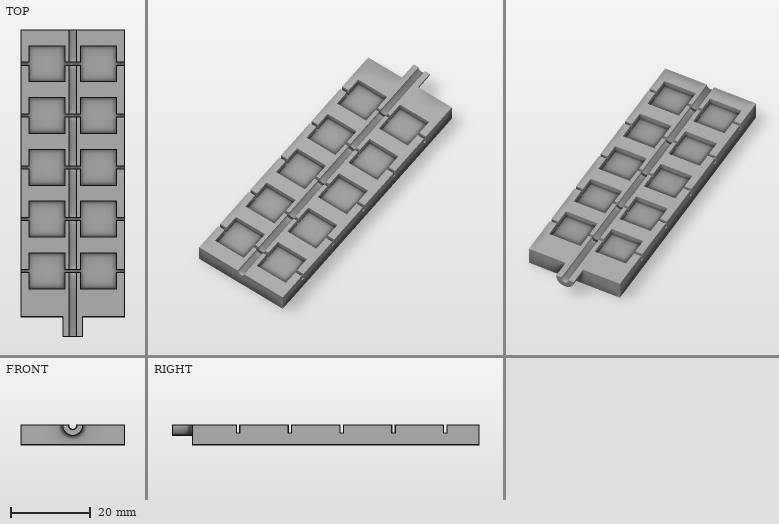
import cadquery as cq
import math

rows = 5
columns = 2
row_pitch = 13.0
column_pitch = 12.99
pocket_size = 9.0
pocket_depth = 2.0
slot_width = 0.8
plate_length = 72.0
plate_thickness = 5.0
spout_length = 5.0
spout_radius = 2.5
groove_radius = 1.0
axis_depth = 0.17

plate_width = columns * column_pitch
spout_tip_y = -spout_length
wall = row_pitch - pocket_size
first_row_y = plate_length - wall - pocket_size / 2

row_centers = [first_row_y - row * row_pitch for row in range(rows)]
column_centers = [(column - (columns - 1) / 2) * column_pitch for column in range(columns)]


def top_block(width, length, x, y):
    """Rectangular block reaching pocket_depth below the top face, centred on x, y."""
    return (
        cq.Workplane("XY", origin=(x, y, plate_thickness))
        .rect(width, length)
        .extrude(-pocket_depth)
    )


def trimmed_cylinder(radius, start_y, end_y):
    """Cylinder along Y on the spout axis, trimmed flat at the top face."""
    top_half_width = math.sqrt(radius**2 - axis_depth**2)
    return (
        cq.Workplane("XZ", origin=(0, end_y, plate_thickness))
        .moveTo(-top_half_width, 0)
        .threePointArc((0, -axis_depth - radius), (top_half_width, 0))
        .close()
        .extrude(end_y - start_y)
    )


def row_of_pockets(row_y):
    """Pockets side by side, joined by a cross slot open at both sides of the plate."""
    cutter = top_block(plate_width, slot_width, 0, row_y)
    for column_x in column_centers:
        cutter = cutter.union(top_block(pocket_size, pocket_size, column_x, row_y))
    return cutter


plate = cq.Workplane("XY").box(
    plate_width, plate_length, plate_thickness, centered=(True, False, False)
)

result = plate.union(trimmed_cylinder(spout_radius, spout_tip_y, plate_length))
result = result.cut(trimmed_cylinder(groove_radius, spout_tip_y, plate_length))

for row_center in row_centers:
    result = result.cut(row_of_pockets(row_center))